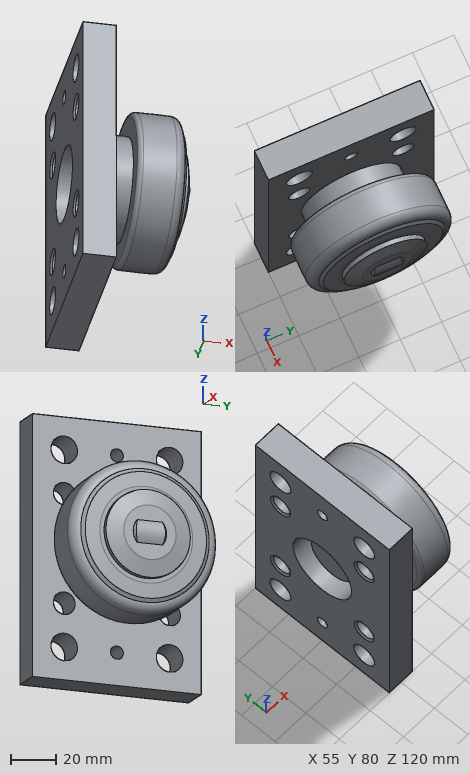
import cadquery as cq
import math

plate_thickness = 15.0
plate_width = 80.0
plate_height = 120.0

hole_pitch_y = 50.0
bolt_pitch_z = 90.0
bolt_diameter = 12.5
dowel_diameter = 6.0
thread_pitch_z = 50.0
thread_diameter = 10.2
thread_countersink_diameter = 12.0

bore_radius = 17.5
bore_depth = 12.0
pin_radius = 15.6
pin_tip_radius = 12.5
pin_taper_length = 5.4

neck_radius = 24.0
roller_start = 26.0
roller_radius = 34.97
crown_rise = 0.08
rear_fillet = 2.3
front_round_start = 43.4
front_round = 4.5
rim_radius = 28.8
rim_end = 49.0
front_face_radius = 22.0
front_face_end = 49.4

cap_radius = 20.0
cap_shoulder = 51.7
cap_face = 53.7
cap_face_radius = 12.4

boss_end = 55.0
boss_base_radius = 7.9
boss_top_radius = 6.9
boss_half_height = 5.2


def plate():
    """Rectangular plate centred on the X axis."""
    return cq.Workplane("YZ").rect(plate_width, plate_height).extrude(plate_thickness)


def roller():
    """Neck, rounded roller and stepped cap as one turned body."""
    diagonal = math.sin(math.radians(45))
    rear_mid = (
        roller_start + rear_fillet * (1 - diagonal),
        roller_radius - rear_fillet * (1 - diagonal),
    )
    crown_mid = (
        (roller_start + rear_fillet + front_round_start) / 2,
        roller_radius + crown_rise,
    )
    front_mid = (
        front_round_start + front_round * diagonal,
        roller_radius - front_round * (1 - diagonal),
    )
    return (
        cq.Workplane("XY")
        .moveTo(plate_thickness, 0)
        .lineTo(plate_thickness, neck_radius)
        .lineTo(roller_start, neck_radius)
        .lineTo(roller_start, roller_radius - rear_fillet)
        .threePointArc(rear_mid, (roller_start + rear_fillet, roller_radius))
        .threePointArc(crown_mid, (front_round_start, roller_radius))
        .threePointArc(front_mid, (front_round_start + front_round, roller_radius - front_round))
        .lineTo(rim_end, rim_radius)
        .lineTo(front_face_end, front_face_radius)
        .lineTo(front_face_end, cap_radius)
        .lineTo(cap_shoulder, cap_radius)
        .lineTo(cap_face, cap_face_radius)
        .lineTo(cap_face, 0)
        .close()
        .revolve(360, (0, 0, 0), (1, 0, 0))
    )


def boss():
    """Tapered disc on the cap, limited by a cylinder lying along Y."""
    height = boss_end - cap_face
    disc = cq.Workplane(
        cq.Solid.makeCone(
            boss_base_radius,
            boss_top_radius,
            height,
            cq.Vector(cap_face, 0, 0),
            cq.Vector(1, 0, 0),
        )
    )
    crest = (
        cq.Workplane("XZ")
        .moveTo(cap_face, -boss_half_height)
        .threePointArc((boss_end, 0), (cap_face, boss_half_height))
        .close()
        .extrude(boss_base_radius, both=True)
    )
    return disc.intersect(crest)


def grid(pitch_y, pitch_z):
    """Four (y, z) points at the corners of a centred rectangle."""
    return [(side * pitch_y / 2, end * pitch_z / 2) for side in (-1, 1) for end in (-1, 1)]


def through_holes(points, diameter):
    """Cylinders through the plate at the given (y, z) points."""
    return cq.Workplane("YZ").pushPoints(points).circle(diameter / 2).extrude(plate_thickness)


def countersink(point):
    """45 degree cone at the mouth of a threaded hole in the back face."""
    mouth_radius = thread_countersink_diameter / 2
    thread_radius = thread_diameter / 2
    return cq.Workplane(
        cq.Solid.makeCone(
            mouth_radius,
            thread_radius,
            mouth_radius - thread_radius,
            cq.Vector(0, *point),
            cq.Vector(1, 0, 0),
        )
    )


def bore():
    """Blind bore in the back of the plate."""
    return cq.Workplane("YZ").circle(bore_radius).extrude(bore_depth)


def pin_end():
    """Cone on the bore floor: the chamfered end of the roller pin."""
    return cq.Workplane(
        cq.Solid.makeCone(
            pin_radius,
            pin_tip_radius,
            pin_taper_length,
            cq.Vector(bore_depth, 0, 0),
            cq.Vector(-1, 0, 0),
        )
    )


bolt_points = grid(hole_pitch_y, bolt_pitch_z)
thread_points = grid(hole_pitch_y, thread_pitch_z)
dowel_points = [(0, -bolt_pitch_z / 2), (0, bolt_pitch_z / 2)]

body = plate()
body = body.cut(through_holes(bolt_points, bolt_diameter))
body = body.cut(through_holes(thread_points, thread_diameter))
body = body.cut(through_holes(dowel_points, dowel_diameter))
for thread_point in thread_points:
    body = body.cut(countersink(thread_point))
body = body.cut(bore()).union(pin_end())

result = body.union(roller()).union(boss())